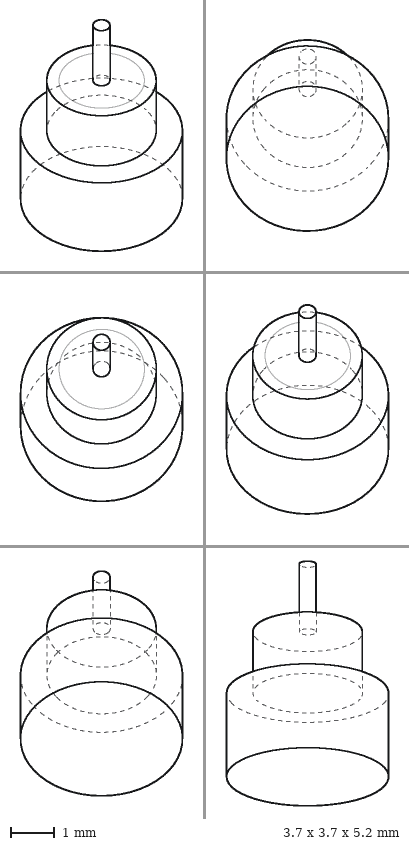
import cadquery as cq

base_diameter = 3.7
base_height = 2.05
collar_diameter = 2.5
collar_height = 1.5
insulator_diameter = 1.95
pin_diameter = 0.39
pin_length = 1.65

base_top = base_height
collar_top = base_top + collar_height
pin_top = collar_top + pin_length
base_radius = base_diameter / 2
collar_radius = collar_diameter / 2
insulator_radius = insulator_diameter / 2
pin_radius = pin_diameter / 2


def make_connector():
    """Revolve the stepped half-profile (radius, height) about the Z axis.

    The point at the insulator radius lies on the flat collar top, so it splits
    that face into a metal rim and a flush insulator disc.
    """
    return (
        cq.Workplane("XZ")
        .moveTo(0, 0)
        .lineTo(base_radius, 0)
        .lineTo(base_radius, base_top)
        .lineTo(collar_radius, base_top)
        .lineTo(collar_radius, collar_top)
        .lineTo(insulator_radius, collar_top)
        .lineTo(pin_radius, collar_top)
        .lineTo(pin_radius, pin_top)
        .lineTo(0, pin_top)
        .close()
        .revolve(360, (0, 0, 0), (0, 1, 0), clean=False)
    )


result = make_connector()